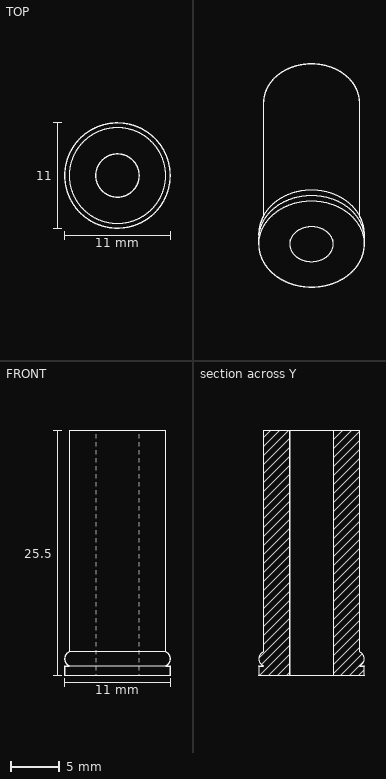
import cadquery as cq

total_height = 25.5
body_diameter = 10.0
rim_diameter = 11.0
bore_diameter = 4.5
flange_height = 1.0
bead_height = 1.5

body_radius = body_diameter / 2
rim_radius = rim_diameter / 2
bead_half_height = bead_height / 2
bead_top = flange_height + bead_height

flange = cq.Workplane("XY").circle(rim_radius).extrude(flange_height)
body = cq.Workplane("XY").circle(body_radius).extrude(total_height)

bead = (
    cq.Workplane("XZ")
    .moveTo(0, flange_height)
    .lineTo(body_radius, flange_height)
    .threePointArc(
        (rim_radius, flange_height + bead_half_height),
        (body_radius, bead_top),
    )
    .lineTo(0, bead_top)
    .close()
    .revolve(360, (0, 0, 0), (0, 1, 0))
)

bore = cq.Workplane("XY").circle(bore_diameter / 2).extrude(total_height)

result = body.union(flange).union(bead).cut(bore)